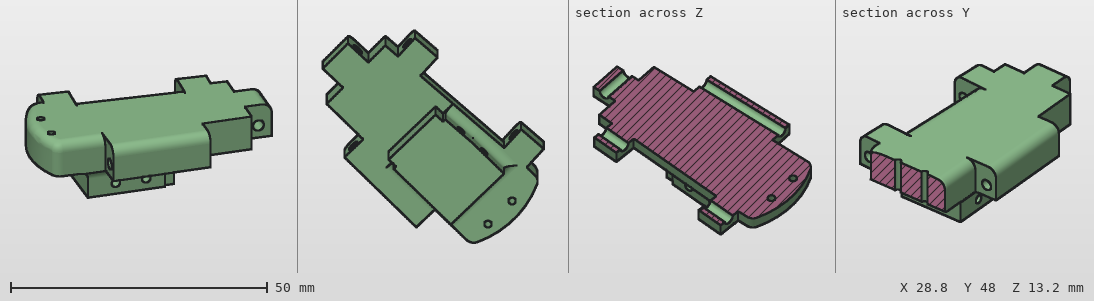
import cadquery as cq
import math

plate_height = 7.1
edge_round = 2.0
waist_round = 3.0
left_corner_round = 1.75
body_left = 5.0
body_right = 23.65
front_radius = 20.0

left_lean = 3.5
left_tab_y = 6.0
left_tab_width = 5.9
left_tab_pitch = 27.75
left_tab_reach = 5.0

right_tab_outer = 28.8
right_tab_start = 12.25
right_tab_end = 32.15

back_turn = 1.2
shoulder_along = 36.95
back_tab_offset = 4.75
back_tab_width = 7.1
back_tab_reach = 5.5

hinge_diameter = 2.2
hinge_height = 2.65
hinge_inset = 2.35
back_hinge_inset = 2.75
front_hole_diameter = 1.4
front_hole_y = 2.9
front_hole_xs = (11.8, 18.4)
clamp_diameter = 1.75
clamp_hole_ys = (20.7, 14.5)
clamp_hole_z = -3.7
clamp_turn = 1.2

foot_depth = 6.05
foot_left = 7.85
foot_right = 22.45
foot_front = 9.05
foot_bend = 17.75
foot_back = 24.9
tongue_back = 26.9
tongue_inset = 0.6
cove_radius = 2.0
overlap = 0.5


def left_point(depth, along):
    """Point in the leaning frame whose origin is the front left tab's outer corner."""
    angle = math.radians(left_lean)
    return (
        depth * math.cos(angle) + along * math.sin(angle),
        left_tab_y - depth * math.sin(angle) + along * math.cos(angle),
    )


shoulder_corner = left_point(left_tab_reach, shoulder_along)


def back_point(across, out):
    """Point in the turned frame whose origin is the left shoulder corner."""
    angle = math.radians(back_turn)
    return (
        shoulder_corner[0] + across * math.cos(angle) + out * math.sin(angle),
        shoulder_corner[1] - across * math.sin(angle) + out * math.cos(angle),
    )


def midpoint(start, end):
    return ((start[0] + end[0]) / 2, (start[1] + end[1]) / 2)


def round_top_edge(body, start, end, radius):
    """Round the top edge that runs between two outline points."""
    selector = cq.selectors.NearestToPointSelector((*midpoint(start, end), plate_height))
    return body.edges(selector).fillet(radius)


def rod(start, end, z, diameter):
    """Horizontal cylinder at height z that runs slightly past both given points."""
    run = cq.Vector(end[0] - start[0], end[1] - start[1], 0)
    base = cq.Vector(*start, z) - run.normalized() * overlap
    return cq.Workplane(cq.Solid.makeCylinder(diameter / 2, run.Length + 2 * overlap, base, run))


def make_plate():
    left_tabs = []
    for along in (0, left_tab_pitch):
        far = along + left_tab_width
        left_tabs.append((left_point(0, along), left_point(0, far)))
    waist_start = left_point(left_tab_reach, left_tab_width)
    waist_end = left_point(left_tab_reach, left_tab_pitch)
    upper_tab_root = left_point(left_tab_reach, left_tab_pitch + left_tab_width)

    back_tab_end = back_tab_offset + back_tab_width
    back_tab = (back_point(back_tab_offset, back_tab_reach), back_point(back_tab_end, back_tab_reach))
    shoulder_width = (body_right - shoulder_corner[0]) / math.cos(math.radians(back_turn))

    half_width = (body_right - body_left) / 2
    arc_end_y = front_radius - math.sqrt(front_radius**2 - half_width**2)
    arc_middle = (body_left + half_width, 0)
    front_left = (body_left, arc_end_y)
    front_right = (body_right, arc_end_y)
    lower_tab_root_y = left_tab_y - body_left * math.tan(math.radians(left_lean))

    right_side = [
        (body_right, right_tab_end),
        (right_tab_outer, right_tab_end),
        (right_tab_outer, right_tab_start),
        (body_right, right_tab_start),
    ]
    outline = [
        (body_left, lower_tab_root_y),
        *left_tabs[0],
        waist_start,
        waist_end,
        *left_tabs[1],
        upper_tab_root,
        shoulder_corner,
        back_point(back_tab_offset, 0),
        *back_tab,
        back_point(back_tab_end, 0),
        back_point(shoulder_width, 0),
        *right_side,
        front_right,
    ]
    plate = (
        cq.Workplane("XY")
        .polyline(outline)
        .threePointArc(arc_middle, front_left)
        .close()
        .extrude(plate_height)
    )

    corner_edge = cq.selectors.NearestToPointSelector((*front_left, plate_height / 2))
    trimmer = plate.edges(corner_edge).fillet(left_corner_round)

    for start, end in (*left_tabs, back_tab, right_side[1:3]):
        plate = round_top_edge(plate, start, end, edge_round)
    plate = round_top_edge(plate, waist_start, waist_end, waist_round)

    corner_edge = cq.selectors.NearestToPointSelector((*front_right, plate_height / 2))
    plate = plate.edges(corner_edge).fillet(edge_round)
    plate = round_top_edge(plate, arc_middle, arc_middle, edge_round)
    return plate.intersect(trimmer)


def make_foot(plate):
    lean = math.tan(math.radians(left_lean))
    back_left = foot_left + (foot_back - foot_bend) * lean

    def outline(margin):
        return [
            (foot_left - margin, foot_front - margin),
            (foot_left - margin, foot_bend),
            (back_left - margin, foot_back),
            (foot_right + margin, foot_back),
            (foot_right + margin, foot_front - margin),
        ]

    block = cq.Workplane("XY").polyline(outline(0)).close().extrude(-foot_depth)
    tongue = (
        cq.Workplane("XY")
        .moveTo(back_left + tongue_inset, foot_back - overlap)
        .lineTo(back_left + tongue_inset, tongue_back)
        .lineTo(foot_right - tongue_inset, tongue_back)
        .lineTo(foot_right - tongue_inset, foot_back - overlap)
        .close()
        .extrude(-foot_depth)
    )

    edges = outline(cove_radius)
    flare = cq.Workplane("XY").polyline(edges).close().extrude(-cove_radius)
    for index in (0, 1, 3, 4):
        start = edges[index]
        end = edges[(index + 1) % len(edges)]
        flare = flare.cut(rod(start, end, -cove_radius, 2 * cove_radius))
    flare = flare.intersect(plate.translate((0, 0, -cove_radius)))
    return block.union(tongue).union(flare)


def drill_hinges(body):
    for along in (0, left_tab_pitch):
        start = left_point(hinge_inset, along)
        end = left_point(hinge_inset, along + left_tab_width)
        body = body.cut(rod(start, end, hinge_height, hinge_diameter))
    hinge_out = back_tab_reach - back_hinge_inset
    start = back_point(back_tab_offset, hinge_out)
    end = back_point(back_tab_offset + back_tab_width, hinge_out)
    body = body.cut(rod(start, end, hinge_height, hinge_diameter))
    right_x = right_tab_outer - hinge_inset
    start = (right_x, right_tab_start)
    end = (right_x, right_tab_end)
    return body.cut(rod(start, end, hinge_height, hinge_diameter))


def drill_clamp_holes(body):
    rise = right_tab_outer * math.tan(math.radians(clamp_turn))
    offset = foot_left * math.tan(math.radians(clamp_turn))
    for y in clamp_hole_ys:
        start = (0, y - offset)
        end = (right_tab_outer, y - offset + rise)
        body = body.cut(rod(start, end, clamp_hole_z, clamp_diameter))
    return body


def drill_front_holes(body):
    drill = (
        cq.Workplane("XY")
        .pushPoints([(x, front_hole_y) for x in front_hole_xs])
        .circle(front_hole_diameter / 2)
        .extrude(plate_height)
    )
    return body.cut(drill)


plate = make_plate()
result = plate.union(make_foot(plate))
result = drill_hinges(result)
result = drill_clamp_holes(result)
result = drill_front_holes(result)